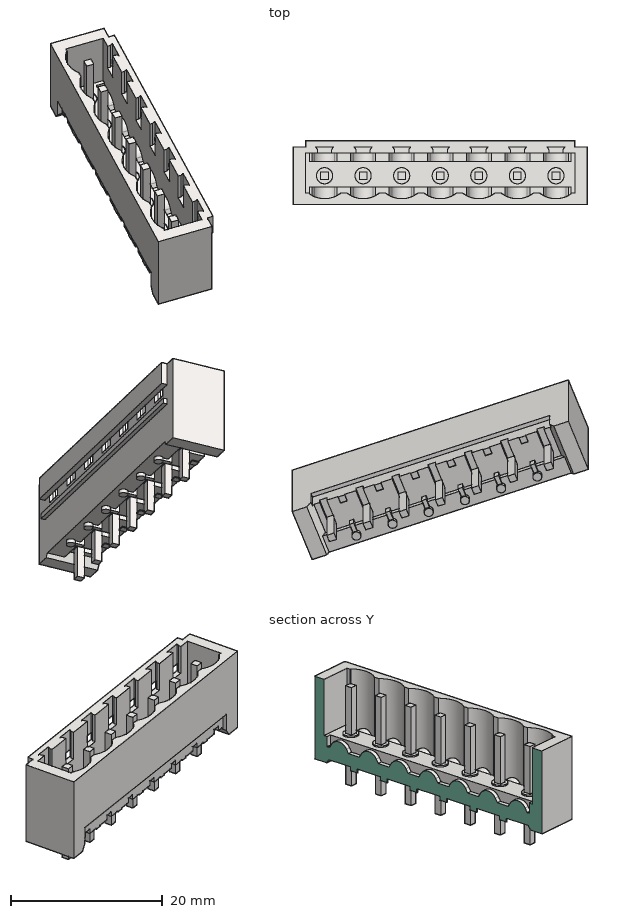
import cadquery as cq
import math

length = 38.75
depth = 7.6
height = 11.95
pin_count = 7
pitch = 5.08

pin_size = 1.0
pin_y = 3.8
pin_bottom_z = -3.25
pin_top_z = 10.9

end_wall = 1.65
cavity_front_y = 1.55
cavity_back_y = 6.82
floor_z = 3.88

scallop_front_y = 0.78
scallop_half_width = 2.17

channel_end_wall = 2.17
channel_floor_z = 2.4
bar_front_y = 2.33
bar_back_y = 5.65
hump_base_width = 3.3
hump_arc_width = 2.6
hump_side_angle = 58.0
hump_arc_rise = 0.7

collar_diameter = 2.15
collar_height = 0.2

groove_front_width = 1.85
groove_back_width = 2.33
groove_neck_back_y = 7.2
groove_bottom_z = 7.8

rail_depth = 0.8
rail_height = 3.15
lower_rail_depth = 0.6
lower_rail_bottom_z = 5.9
lower_rail_height = 0.75

underside_z = 1.25
leg_foot_width = 2.05
leg_top_width = 2.83

recess_end_wall = 2.65
recess_top_z = 3.45
recess_depth = 0.6
pin_slot_top_z = 1.95
lip_width = 0.93
lip_drop = 0.15

sill_front_y = 5.05
sill_bottom_z = 0.55
rib_width = 0.62
rib_front_y = 4.45
rib_bottom_z = 0.2
foot_diameter = 1.2

pin_xs = [(i - (pin_count - 1) / 2) * pitch for i in range(pin_count)]
gap_xs = [x + pitch / 2 for x in pin_xs[:-1]]
cavity_length = length - 2 * end_wall
channel_length = length - 2 * channel_end_wall
foot_y = (sill_front_y + depth) / 2


def block(x_size, y_range, z_range, x=0.0):
    """Box centred on x in X, between the given limits in Y and Z."""
    y0, y1 = y_range
    z0, z1 = z_range
    corner = cq.Workplane("XY", origin=(x, y0, z0))
    return corner.box(x_size, y1 - y0, z1 - z0, centered=(True, False, False))


def pin(x):
    """Straight square pin."""
    half = pin_size / 2
    return block(pin_size, (pin_y - half, pin_y + half), (pin_bottom_z, pin_top_z), x)


def body():
    """Outer block with its rear rails, standing on two end legs with slanted inner sides."""
    foot_x = length / 2 - leg_foot_width
    top_x = length / 2 - leg_top_width
    leg_gap = (
        cq.Workplane("XZ")
        .polyline([(-foot_x, 0), (-top_x, underside_z), (top_x, underside_z), (foot_x, 0)])
        .close()
        .extrude(-depth)
    )
    top_rail = block(cavity_length, (depth, depth + rail_depth), (height - rail_height, height))
    lower_rail = block(
        cavity_length,
        (depth, depth + lower_rail_depth),
        (lower_rail_bottom_z, lower_rail_bottom_z + lower_rail_height),
    )
    return block(length, (0, depth), (0, height)).cut(leg_gap).union(top_rail).union(lower_rail)


def scallop(x):
    """Round hollow in the front cavity wall, down to the channel floor."""
    return (
        cq.Workplane("XY", origin=(x, 0, channel_floor_z))
        .moveTo(-scallop_half_width, cavity_front_y)
        .threePointArc((0, scallop_front_y), (scallop_half_width, cavity_front_y))
        .lineTo(scallop_half_width, bar_front_y)
        .lineTo(-scallop_half_width, bar_front_y)
        .close()
        .extrude(height - channel_floor_z)
    )


def cavity():
    """Upper cavity, both floor channels and the scallops, as one cutter."""
    channel_z = (channel_floor_z, height)
    cutter = block(cavity_length, (cavity_front_y, cavity_back_y), (floor_z, height))
    cutter = cutter.union(block(channel_length, (cavity_front_y, bar_front_y), channel_z))
    cutter = cutter.union(block(channel_length, (bar_back_y, cavity_back_y), channel_z))
    scallop_limit = block(channel_length, (0, bar_front_y), channel_z)
    for x in pin_xs:
        cutter = cutter.union(scallop(x).intersect(scallop_limit))
    return cutter


def hump(x):
    """Arched ridge with flat flanks, lying along Y across both channels."""
    base = hump_base_width / 2
    shoulder = hump_arc_width / 2
    shoulder_z = (base - shoulder) * math.tan(math.radians(hump_side_angle))
    return (
        cq.Workplane("XZ", origin=(x, scallop_front_y, channel_floor_z))
        .moveTo(-base, 0)
        .lineTo(-shoulder, shoulder_z)
        .threePointArc((0, shoulder_z + hump_arc_rise), (shoulder, shoulder_z))
        .lineTo(base, 0)
        .close()
        .extrude(scallop_front_y - cavity_back_y)
    )


def collar(x):
    """Low round pad on the floor bar, around the pin."""
    return cq.Workplane("XY", origin=(x, pin_y, floor_z)).circle(collar_diameter / 2).extrude(collar_height)


def groove(x):
    """Groove through the rear wall: a straight neck that flares out towards the rear."""
    front = groove_front_width / 2
    back = groove_back_width / 2
    outline = [
        (-front, cavity_back_y),
        (front, cavity_back_y),
        (front, groove_neck_back_y),
        (back, depth),
        (-back, depth),
        (-front, groove_neck_back_y),
    ]
    return (
        cq.Workplane("XY", origin=(x, 0, groove_bottom_z))
        .polyline(outline)
        .close()
        .extrude(height - groove_bottom_z)
    )


def pin_slot(x):
    """Slot in the underside from the front face back to the pin."""
    return block(pin_size, (0, pin_y), (0, pin_slot_top_z), x)


def underside_details():
    """Sill, and between neighbouring pins a lip, a rib and a round foot."""
    sill_length = length - 2 * leg_foot_width
    details = block(sill_length, (sill_front_y, depth), (sill_bottom_z, underside_z))
    for x in gap_xs:
        lip = block(lip_width, (recess_depth, cavity_front_y), (underside_z - lip_drop, underside_z), x)
        rib = block(rib_width, (rib_front_y, foot_y), (rib_bottom_z, underside_z), x)
        foot = cq.Workplane("XY", origin=(x, foot_y, 0)).circle(foot_diameter / 2).extrude(underside_z)
        details = details.union(lip).union(rib).union(foot)
    return details


def build_housing():
    recess = block(length - 2 * recess_end_wall, (0, recess_depth), (0, recess_top_z))
    housing = body().cut(cavity()).cut(recess)
    for x in pin_xs:
        housing = housing.union(hump(x)).union(collar(x))
        housing = housing.cut(groove(x)).cut(pin_slot(x)).cut(pin(x))
    return housing.union(underside_details())


housing = build_housing()
pins = [pin(x) for x in pin_xs]

result = cq.Compound.makeCompound([housing.solids().val(), *[single.val() for single in pins]])